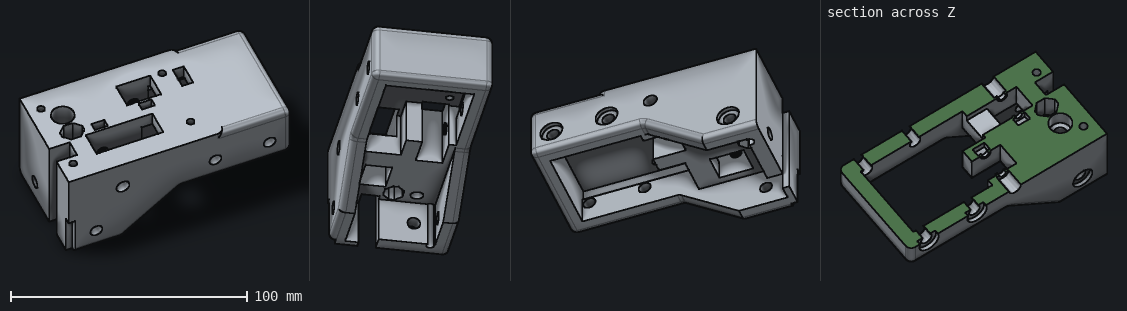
import cadquery as cq

width = 52.0
length = 103
height = 46.0
half_width = width / 2
edge_radius = 3.0

rear_underside = 20.0
leg_length = 25.0
slope_end = 52.0
square_top_length = 71.9

side_wall = 7.0
front_wall = 3.0
left_front_wall = 7.0
rear_wall = 7.0
roof = 6.6
ledge = 1.2
ledge_height = 33.4
left_block_end = 55.0
right_block_end = 43.2
left_block_edge = 2.6
inner_half_width = half_width - side_wall
cavity_end = length - rear_wall
cavity_top = height - roof

window_offset = 10.1
window_width = 11.5
window_length = 15.8
left_window_start = 40.2
right_window_start = 17.3
right_window_length = 30.8
chute_length = 15.3
bridge_top = 29.0

beam_height = 32.1
left_beam_y = 48.0
right_beam_y = 25.0
lamp_diameter = 6.0
beam_diameter = 3.3
receiver_diameter = 3.0
collar_diameter = 5.0
lamp_collar = 0.7
receiver_collar = 0.4
sensor_wall = 1.1
pocket_width = 3.7
pocket_length = 6.0
pocket_floor = 29.0

screw_diameter = 5.5
head_diameter = 10.0
side_head_depth = 2.0
side_screws = [(92.8, 30.1), (67.8, 30.1), (12.8, 9.8)]
top_screw_x = -10.0
top_screw_y = 13.0
top_head_seat = 25.0
front_screw_x = -9.8
front_screw_z = 9.8

pilot_diameter = 3.3
pilot_pairs = [(15.0, 61.1), (17.0, 6.0)]

cable_width = 10.0
cable_length = 5.0
cable_x = -10.0
cable_y = 68.5
octagon_width = 8.3
octagon_length = 10.3
octagon_corner = 3.0
octagon_y = 13.0

slot_left = 5.4
slot_width = 7.8
slot_depth = 9.5
notch_width = 3.0
notch_depth = 3.0


def block(x_range, y_range, z_range):
    """Box spanning the given ranges along X, Y and Z."""
    sizes = [end - start for start, end in (x_range, y_range, z_range)]
    origin = (x_range[0], y_range[0], z_range[0])
    return cq.Workplane("XY").box(*sizes, centered=False).translate(origin)


def rod(start, direction, diameter, rod_length):
    """Cylinder running from a start point along a direction."""
    return cq.Workplane(cq.Solid.makeCylinder(
        diameter / 2, rod_length, cq.Vector(*start), cq.Vector(*direction)))


def outer_body():
    profile = [
        (0, 0), (leg_length, 0), (slope_end, rear_underside),
        (length, rear_underside), (length, height), (0, height),
    ]
    body = cq.Workplane("YZ").polyline(profile).close().extrude(half_width, both=True)
    bend = cq.selectors.NearestToPointSelector((0, slope_end, rear_underside))
    body = body.edges("|X").edges(bend).fillet(edge_radius)
    rounded = body.faces("<X or >X or >Y").edges().edges("not(<Y)")
    body = body.newObject(rounded.vals()).fillet(edge_radius)
    square_top = block((-half_width, half_width), (0, square_top_length),
                       (height - edge_radius, height))
    return body.union(square_top.edges("|Z and >Y").fillet(edge_radius))


def cavity():
    lower = block((-inner_half_width, inner_half_width), (front_wall, cavity_end),
                  (0, rear_underside))
    lower = lower.cut(block((-half_width, slot_left), (0, left_front_wall), (0, rear_underside)))
    wide = inner_half_width + ledge
    section = [
        (-inner_half_width, rear_underside), (inner_half_width, rear_underside),
        (inner_half_width, ledge_height), (wide, ledge_height + ledge),
        (wide, cavity_top), (-wide, cavity_top),
        (-wide, ledge_height + ledge), (-inner_half_width, ledge_height),
    ]
    upper = (cq.Workplane("XZ", origin=(0, right_block_end, 0))
             .polyline(section).close().extrude(right_block_end - cavity_end))
    left_block = block((-half_width, left_block_edge), (right_block_end, left_block_end),
                       (rear_underside, height))
    return lower.union(upper.cut(left_block))


def window(side, y_start, y_length, z_floor):
    middle = side * window_offset
    return block((middle - window_width / 2, middle + window_width / 2),
                 (y_start, y_start + y_length), (z_floor, height))


def add_sensor(body, side, beam_y):
    """Lamp bore in from the outer side, receiver pocket on the inner side of a window."""
    inward = (-side, 0, 0)
    outward = (side, 0, 0)
    outer_face = side * (window_offset + window_width / 2)
    inner_face = side * (window_offset - window_width / 2)
    lamp_depth = half_width - abs(outer_face) - sensor_wall
    pocket_x = inner_face - side * (sensor_wall + pocket_width / 2)

    outer_start = (outer_face + side * sensor_wall, beam_y, beam_height)
    inner_start = (pocket_x, beam_y, beam_height)
    to_inner_face = abs(inner_face - pocket_x)
    body = body.union(rod(outer_start, inward, collar_diameter, sensor_wall + lamp_collar))
    body = body.union(rod(inner_start, outward, collar_diameter, to_inner_face + receiver_collar))

    body = body.cut(rod((side * half_width, beam_y, beam_height), inward,
                        lamp_diameter, lamp_depth))
    body = body.cut(rod(outer_start, inward, beam_diameter, sensor_wall + lamp_collar))
    body = body.cut(rod(inner_start, outward, receiver_diameter,
                        to_inner_face + receiver_collar))
    return body.cut(block((pocket_x - pocket_width / 2, pocket_x + pocket_width / 2),
                          (beam_y - pocket_length / 2, beam_y + pocket_length / 2),
                          (pocket_floor, height)))


def cut_screws(body):
    for y, z in side_screws:
        start = (-half_width, y, z)
        body = body.cut(rod(start, (1, 0, 0), screw_diameter, width))
        body = body.cut(rod(start, (1, 0, 0), head_diameter, side_head_depth))
    top_start = (top_screw_x, top_screw_y, height)
    body = body.cut(rod(top_start, (0, 0, -1), screw_diameter, height - rear_underside))
    body = body.cut(rod(top_start, (0, 0, -1), head_diameter, height - top_head_seat))
    front_start = (front_screw_x, 0, front_screw_z)
    body = body.cut(rod(front_start, (0, 1, 0), screw_diameter, left_front_wall))
    for x, y in pilot_pairs:
        for side in (-1, 1):
            body = body.cut(rod((side * x, y, height), (0, 0, -1), pilot_diameter, height))
    return body


def cut_top_openings(body):
    body = body.cut(block((cable_x - cable_width / 2, cable_x + cable_width / 2),
                          (cable_y - cable_length / 2, cable_y + cable_length / 2),
                          (rear_underside, height)))
    octagon = block((-octagon_width / 2, octagon_width / 2),
                    (octagon_y - octagon_length / 2, octagon_y + octagon_length / 2),
                    (rear_underside, height))
    return body.cut(octagon.edges("|Z").chamfer(octagon_corner))


def cut_front_openings(body):
    body = body.cut(block((slot_left, slot_left + slot_width), (0, slot_depth), (0, height)))
    return body.cut(block((half_width - notch_width, half_width), (0, notch_depth),
                          (0, rear_underside)))


result = outer_body().cut(cavity())
result = result.cut(window(-1, left_window_start, window_length, rear_underside))
result = result.cut(window(1, right_window_start, right_window_length, bridge_top))
result = result.cut(window(1, right_window_start, chute_length, rear_underside))
result = add_sensor(result, -1, left_beam_y)
result = add_sensor(result, 1, right_beam_y)
result = cut_screws(result)
result = cut_top_openings(result)
result = cut_front_openings(result)